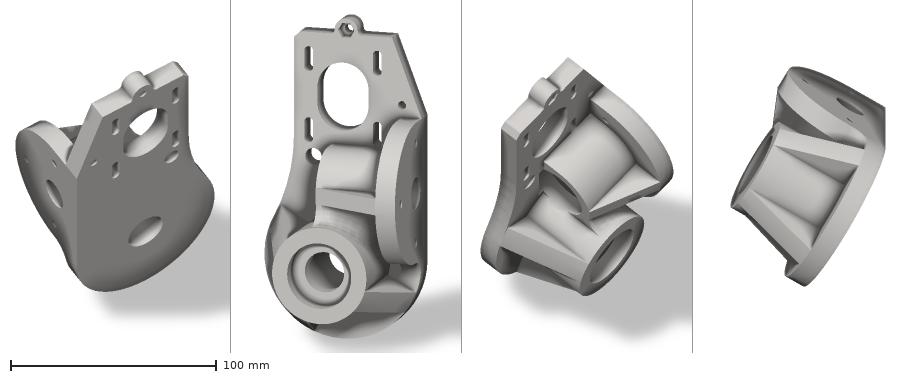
import cadquery as cq
import math


plate_thickness = 10.0
disc_radius = 40.0
plate_half_width = 25.0
plate_top = 112.2
corner_chamfer = 3.0
neck_radius = 89.6

total_height = 160.0
lug_radius = 6.0
lug_y = -1.6
lug_z = total_height - disc_radius - lug_radius
lug_hole_diameter = 4.2
nut_across_flats = 7.2
nut_pocket_depth = 4.8

motor_z = 81.0
motor_travel = 8.0
motor_opening_width = 26.0
motor_slot_width = 4.5
motor_slot_y = 17.5
motor_slot_z = 17.8

plate_holes = [
    (15.0, 50.0, 8.3),
    (-30.0, 78.5, 4.2),
]

boss_radius = 24.0
boss_height = 50.0
boss_bore_diameter = 20.0
boss_seat_diameter = 32.6
boss_seat_depth = 9.0
rib_width = 12.0
rib_angles = (30, 210, 300)

housing_x = -20.0
housing_z = 37.5
housing_radius = 20.0
housing_end_y = 5.0
housing_bore_diameter = 15.5
housing_seat_diameter = 30.0
housing_seat_depth = boss_seat_depth
seat_clearance = 3.0
flange_thickness = 10.0
flange_radius = 35.0
flange_foot_fillet = -housing_x - plate_thickness
flange_hole_circle = 25.0
flange_hole_diameter = 4.2
flange_inner_y = flange_thickness - disc_radius
gusset_thickness = 8.0
blend_radius = 8.0


def plate_outline():
    """Plate profile: round foot, concave neck on the +Y side, slanted shoulder on the -Y side."""
    reach = disc_radius + neck_radius
    neck_y = plate_half_width + neck_radius
    neck_z = math.sqrt(reach**2 - neck_y**2)
    neck_angle = math.atan2(neck_z, neck_y)
    tangent_y = disc_radius * math.cos(neck_angle)
    tangent_z = disc_radius * math.sin(neck_angle)
    neck_mid = (
        neck_y - neck_radius * math.cos(neck_angle / 2),
        neck_z - neck_radius * math.sin(neck_angle / 2),
    )
    return (
        cq.Workplane("YZ")
        .moveTo(-disc_radius, 0)
        .lineTo(-disc_radius, housing_z + flange_radius)
        .lineTo(-plate_half_width, plate_top)
        .lineTo(plate_half_width - corner_chamfer, plate_top)
        .lineTo(plate_half_width, plate_top - corner_chamfer)
        .lineTo(plate_half_width, neck_z)
        .threePointArc(neck_mid, (tangent_y, tangent_z))
        .threePointArc((0, -disc_radius), (-disc_radius, 0))
        .close()
    )


def lug():
    """Round lug on the top edge with a small fillet on each side of its root."""
    fillet = lug_z - plate_top
    diagonal = fillet * (1 - math.sqrt(0.5))
    left = lug_y - lug_radius
    right = lug_y + lug_radius
    return (
        cq.Workplane("YZ")
        .moveTo(left - fillet, plate_top)
        .threePointArc((left - diagonal, plate_top + diagonal), (left, lug_z))
        .threePointArc((lug_y, lug_z + lug_radius), (right, lug_z))
        .threePointArc((right + diagonal, plate_top + diagonal), (right + fillet, plate_top))
        .lineTo(lug_y, plate_top - lug_radius)
        .close()
        .extrude(-plate_thickness)
    )


def boss_and_housing():
    """Bearing boss joined to the round-nosed cross housing, blended along their meeting line."""
    boss = cq.Workplane("YZ").circle(boss_radius).extrude(-boss_height)
    housing = (
        cq.Workplane("XZ", origin=(0, housing_end_y, 0))
        .moveTo(0, housing_z - housing_radius)
        .lineTo(housing_x, housing_z - housing_radius)
        .threePointArc((housing_x - housing_radius, housing_z), (housing_x, housing_z + housing_radius))
        .lineTo(0, housing_z + housing_radius)
        .close()
        .extrude(housing_end_y + disc_radius)
    )
    return boss.union(housing).edges("%BSPLINE").fillet(blend_radius)


def boss_ribs():
    """Straight-sided ribs whose tops taper from the boss rim down to the edge of the plate foot."""
    taper = (
        cq.Workplane("XY")
        .polyline(
            [
                (-plate_thickness, 0),
                (-plate_thickness, disc_radius),
                (-boss_height, boss_radius),
                (-boss_height, 0),
            ]
        )
        .close()
        .revolve(360, (0, 0, 0), (1, 0, 0))
    )
    bar = cq.Workplane("XY").box(boss_height, disc_radius, rib_width, centered=(False, False, True))
    bar = bar.translate((-boss_height, 0, 0))
    bars = cq.Workplane("XY")
    for angle in rib_angles:
        bars = bars.union(bar.rotate((0, 0, 0), (1, 0, 0), angle))
    return taper.intersect(bars)


def flange():
    """Round-nosed flange with a concave foot, trimmed to the plate outline."""
    nose_x = housing_x - flange_radius
    bottom = housing_z - flange_radius
    foot_z = bottom - flange_foot_fillet
    diagonal = flange_foot_fillet * math.sqrt(0.5)
    profile = (
        cq.Workplane("XZ", origin=(0, flange_inner_y, 0))
        .moveTo(0, housing_z + flange_radius)
        .lineTo(housing_x, housing_z + flange_radius)
        .threePointArc((nose_x, housing_z), (housing_x, bottom))
        .threePointArc((housing_x + diagonal, foot_z + diagonal), (-plate_thickness, foot_z))
        .lineTo(0, foot_z)
        .close()
        .extrude(flange_thickness)
    )
    return profile.intersect(plate_outline().extrude(nose_x))


def gusset():
    """Triangular web from the open end of the housing to the tip of the flange."""
    return (
        cq.Workplane("XY", origin=(0, 0, housing_z - gusset_thickness / 2))
        .moveTo(housing_x, housing_end_y)
        .lineTo(housing_x - housing_radius, housing_end_y)
        .lineTo(housing_x - flange_radius, flange_inner_y)
        .lineTo(housing_x, flange_inner_y)
        .close()
        .extrude(gusset_thickness)
    )


def plate_openings():
    """Motor opening, its four adjusting slots, the plain holes and the lug hole with nut pocket."""
    depth = -plate_thickness
    opening_length = motor_opening_width + motor_travel
    slot_length = motor_slot_width + motor_travel
    slot_places = [
        (side * motor_slot_y, motor_z + level * motor_slot_z)
        for side in (-1, 1)
        for level in (-1, 1)
    ]
    cuts = (
        cq.Workplane("YZ")
        .center(0, motor_z)
        .slot2D(opening_length, motor_opening_width, 90)
        .extrude(depth)
    )
    cuts = cuts.union(
        cq.Workplane("YZ")
        .pushPoints(slot_places)
        .slot2D(slot_length, motor_slot_width, 90)
        .extrude(depth)
    )
    for y, z, diameter in plate_holes:
        cuts = cuts.union(cq.Workplane("YZ").center(y, z).circle(diameter / 2).extrude(depth))
    lug_hole = cq.Workplane("YZ").center(lug_y, lug_z).circle(lug_hole_diameter / 2).extrude(depth)
    nut_pocket = (
        cq.Workplane("YZ", origin=(-plate_thickness, 0, 0))
        .center(lug_y, lug_z)
        .polygon(6, nut_across_flats / math.cos(math.pi / 6))
        .extrude(nut_pocket_depth)
    )
    return cuts.union(lug_hole).union(nut_pocket)


def boss_bore():
    """Through bore of the bearing boss with a bearing seat at its free end."""
    bore = cq.Workplane("YZ").circle(boss_bore_diameter / 2).extrude(-boss_height)
    seat = (
        cq.Workplane("YZ", origin=(-boss_height, 0, 0))
        .circle(boss_seat_diameter / 2)
        .extrude(boss_seat_depth)
    )
    return bore.union(seat)


def housing_bore():
    """Through bore of the housing; its bearing seat also clears the plate and the boss beside it."""
    seat_start = housing_end_y + seat_clearance
    bore = (
        cq.Workplane("XZ", origin=(housing_x, seat_start, housing_z))
        .circle(housing_bore_diameter / 2)
        .extrude(seat_start + disc_radius)
    )
    seat = (
        cq.Workplane("XZ", origin=(housing_x, seat_start, housing_z))
        .circle(housing_seat_diameter / 2)
        .extrude(seat_clearance + housing_seat_depth)
    )
    return bore.union(seat)


def flange_holes():
    """Three screw holes through the flange, a quarter turn apart around the bore."""
    return (
        cq.Workplane("XZ", origin=(housing_x, flange_inner_y, housing_z))
        .polarArray(flange_hole_circle, 90, 180, 3)
        .circle(flange_hole_diameter / 2)
        .extrude(flange_thickness)
    )


result = (
    plate_outline()
    .extrude(-plate_thickness)
    .union(lug())
    .union(boss_and_housing())
    .union(boss_ribs())
    .union(flange())
    .union(gusset())
    .cut(plate_openings())
    .cut(boss_bore())
    .cut(housing_bore())
    .cut(flange_holes())
)